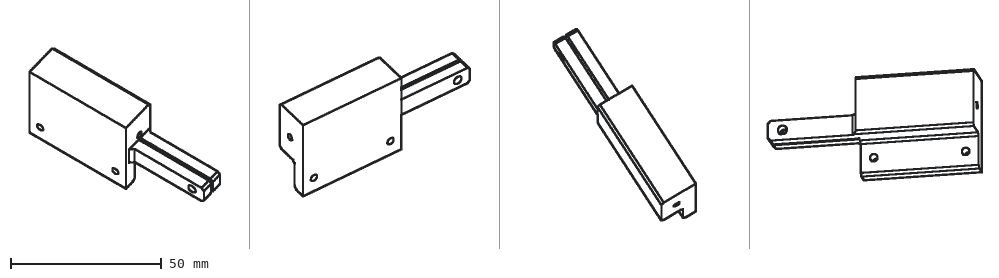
import cadquery as cq

total_length = 70.0
block_length = 40.0
block_depth = 13.5
block_height = 32.0
flange_depth = 5.0
step_height = 12.05
edge_chamfer = 1.0

prong_thickness = 4.0
prong_gap = 0.9
prong_height = 6.9
prong_center_y = 7.5
prong_bottom = step_height
root_taper = 1.3

flange_hole_diameter = 2.5
flange_hole_inset = 4.4
flange_hole_z = 6.0
prong_hole_diameter = 3.0
prong_hole_inset = 5.0
bore_diameter = 2.3
bore_drop = 11.0


def make_stepped_bar(length):
    """L-shaped section with bevelled rear edges, extruded along X."""
    c = edge_chamfer
    section = [
        (0, 0),
        (flange_depth - c, 0),
        (flange_depth, c),
        (flange_depth, step_height - c),
        (flange_depth + c, step_height),
        (block_depth - c, step_height),
        (block_depth, step_height + c),
        (block_depth, block_height - c),
        (block_depth - c, block_height),
        (0, block_height),
    ]
    return cq.Workplane("YZ").polyline(section).close().extrude(length)


def make_prong(side):
    """One prong, with its root flared outward; side is +1 for rear, -1 for front."""
    inner_y = prong_center_y + side * prong_gap / 2
    outer_y = inner_y + side * prong_thickness
    plan = [
        (block_length, inner_y),
        (total_length, inner_y),
        (total_length, outer_y),
        (block_length + root_taper, outer_y),
        (block_length, outer_y + side * root_taper),
    ]
    prong = (
        cq.Workplane("XY")
        .workplane(offset=prong_bottom)
        .polyline(plan)
        .close()
        .extrude(prong_height)
    )
    return prong.faces(">X").edges("|Y").chamfer(edge_chamfer)


def cross_hole(x, z, diameter):
    """Cutter for a hole running through the whole depth along Y."""
    axis_start = cq.Workplane("XZ", origin=(x, 0, z))
    return axis_start.circle(diameter / 2).extrude(-block_depth)


result = make_stepped_bar(block_length)

prong_envelope = make_stepped_bar(total_length)
for side in (-1, 1):
    result = result.union(make_prong(side).intersect(prong_envelope))

for x in (flange_hole_inset, block_length - flange_hole_inset):
    result = result.cut(cross_hole(x, flange_hole_z, flange_hole_diameter))

prong_center_z = prong_bottom + prong_height / 2
result = result.cut(cross_hole(total_length - prong_hole_inset, prong_center_z, prong_hole_diameter))

bore_start = cq.Workplane("YZ", origin=(0, prong_center_y, block_height - bore_drop))
result = result.cut(bore_start.circle(bore_diameter / 2).extrude(block_length))